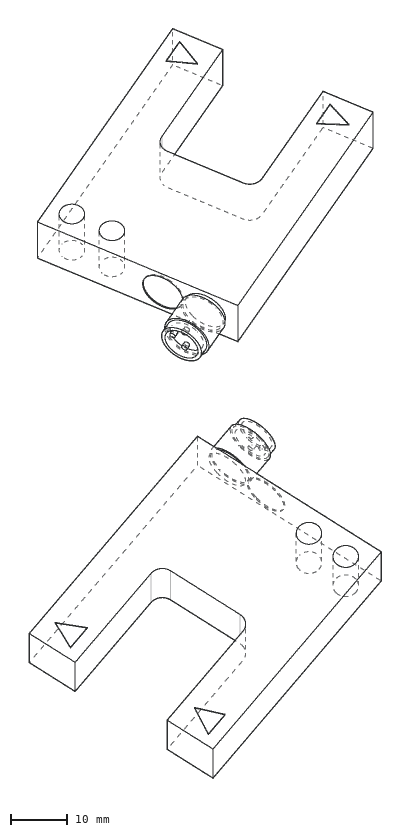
import cadquery as cq

body_width = 40.0
body_length = 50.05
body_height = 10.0
mid_height = body_height / 2

slot_width = body_width / 2
slot_depth = body_length / 2
slot_corner_radius = 2.5

hole_diameter = 4.5
hole_edge_distance = 4.5
hole_spacing = 8.0

mark_length = 5.2
mark_width = 5.0
mark_side_distance = 2.5
mark_end_distance = 2.0
mark_spacing = 30.0
mark_depth = 0.2
left_tip_drop = 2.95
right_tip_drop = mark_width / 2

window_x = 25.0
window_diameter = 8.0
window_depth = 0.25

connector_x = 33.55
connector_length = 8.8
neck_length = 0.9
sleeve_length = 6.0
neck_diameter = 8.0
sleeve_diameter = 8.8
socket_diameter = 6.6
socket_depth = 2.0

pin_diameter = 1.05
pin_length = 1.0
pin_offsets = [(0, 2.05), (0, -2.05), (-2.35, 0)]


def cylinder_toward_front(x, y, z, diameter, length):
    """Cylinder starting at (x, y, z) and running toward -Y."""
    return cq.Workplane("XZ", origin=(x, y, z)).circle(diameter / 2).extrude(length)


def make_body():
    body = cq.Workplane("XY").box(body_width, body_length, body_height, centered=False)
    slot = (
        cq.Workplane("XY", origin=(body_width / 2, body_length - slot_depth / 2, 0))
        .rect(slot_width, slot_depth)
        .extrude(body_height)
        .edges("|Z and <Y")
        .fillet(slot_corner_radius)
    )
    holes = (
        cq.Workplane("XY")
        .pushPoints([(hole_edge_distance + i * hole_spacing, hole_edge_distance) for i in range(2)])
        .circle(hole_diameter / 2)
        .extrude(body_height)
    )
    window = cylinder_toward_front(window_x, window_depth, mid_height, window_diameter, window_depth)
    return body.cut(slot).cut(holes).cut(window)


def make_mark(x, tip_drop):
    """Triangle pointing toward +X, its tip lying tip_drop below its far corner."""
    top = body_length - mark_end_distance
    return (
        cq.Workplane("XY", origin=(x, top, body_height))
        .polyline([(0, 0), (mark_length, -tip_drop), (0, -mark_width)])
        .close()
        .extrude(-mark_depth)
    )


def make_connector():
    core = cylinder_toward_front(connector_x, 0, mid_height, neck_diameter, connector_length)
    sleeve = cylinder_toward_front(connector_x, -neck_length, mid_height, sleeve_diameter, sleeve_length)
    floor_y = socket_depth - connector_length
    socket = cylinder_toward_front(connector_x, floor_y, mid_height, socket_diameter, socket_depth)
    connector = core.union(sleeve).cut(socket)
    for dx, dz in pin_offsets:
        pin = cylinder_toward_front(connector_x + dx, floor_y, mid_height + dz, pin_diameter, pin_length)
        connector = connector.union(pin)
    return connector


result = make_body().union(make_connector())
for arm, tip_drop in enumerate((left_tip_drop, right_tip_drop)):
    result = result.cut(make_mark(mark_side_distance + arm * mark_spacing, tip_drop))